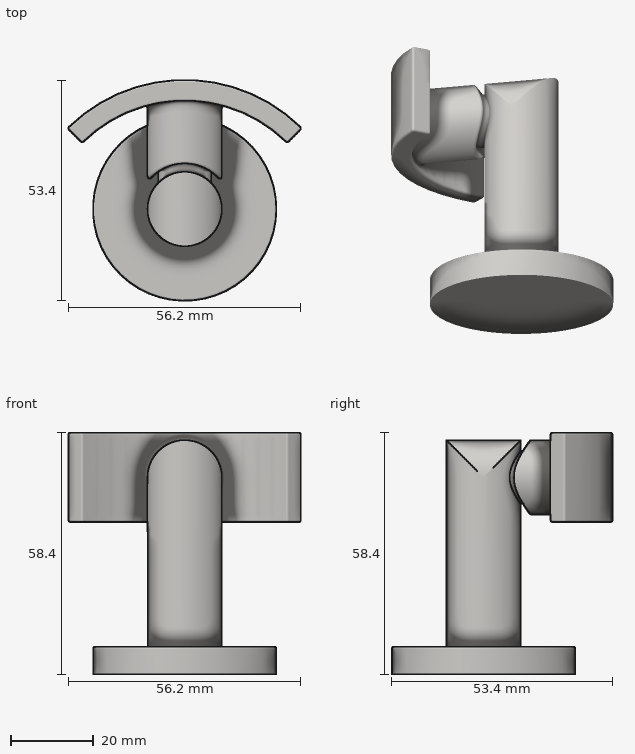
import cadquery as cq
import math

base_radius = 22.2
base_thickness = 6.65
post_radius = 9.0

total_height = 58.35
plate_height = 21.6
plate_front_y = 31.2
plate_outer_radius = 40.05
plate_thickness = 5.0
plate_half_angle = math.radians(45)

arm_radius = post_radius
neck_radius = 6.4
saddle_radius = 11.05
edge_round = 0.5

axis_z = total_height - plate_height / 2
plate_inner_radius = plate_outer_radius - plate_thickness
plate_center_y = plate_front_y - plate_outer_radius
arm_end_y = plate_front_y - plate_thickness / 2


def y_cylinder(radius, start_y, end_y):
    """Cylinder on the arm axis, running along Y."""
    return (
        cq.Workplane("XZ", origin=(0, start_y, axis_z))
        .circle(radius)
        .extrude(start_y - end_y)
    )


def plate_point(radius, angle):
    """Plan position on the plate, with the angle measured from +Y."""
    return radius * math.sin(angle), plate_center_y + radius * math.cos(angle)


def make_base():
    disc = cq.Workplane("XY").circle(base_radius).extrude(base_thickness)
    return disc.faces(">Z").edges().fillet(edge_round)


def make_post():
    """Round post whose top is shaped by a crossing cylinder of the same radius."""
    stem = cq.Workplane("XY").circle(post_radius).extrude(axis_z)
    crown = (
        cq.Workplane("XY", origin=(0, 0, axis_z))
        .circle(post_radius)
        .extrude(post_radius)
        .intersect(y_cylinder(post_radius, -post_radius, post_radius))
    )
    return stem.union(crown)


def make_plate():
    outer, inner = plate_outer_radius, plate_inner_radius
    return (
        cq.Workplane("XY", origin=(0, 0, total_height - plate_height))
        .moveTo(*plate_point(outer, -plate_half_angle))
        .threePointArc(plate_point(outer, 0), plate_point(outer, plate_half_angle))
        .lineTo(*plate_point(inner, plate_half_angle))
        .threePointArc(plate_point(inner, 0), plate_point(inner, -plate_half_angle))
        .close()
        .extrude(plate_height)
        .edges()
        .fillet(edge_round)
    )


def make_arm():
    """Arm with a rounded concave end facing the post."""
    saddle = cq.Workplane("XY").circle(saddle_radius).extrude(total_height)
    arm = y_cylinder(arm_radius, 0, arm_end_y).cut(saddle)
    return arm.edges("<Y").fillet(edge_round)


joint_selector = cq.selectors.BoxSelector(
    (-arm_radius - edge_round, saddle_radius + edge_round, axis_z - arm_radius - edge_round),
    (arm_radius + edge_round, plate_front_y, axis_z + arm_radius + edge_round),
    boundingbox=True,
)
holder = make_plate().union(make_arm())
holder = holder.edges(joint_selector).fillet(edge_round)

neck = y_cylinder(neck_radius, 0, arm_end_y)
result = make_base().union(make_post()).union(neck).union(holder)